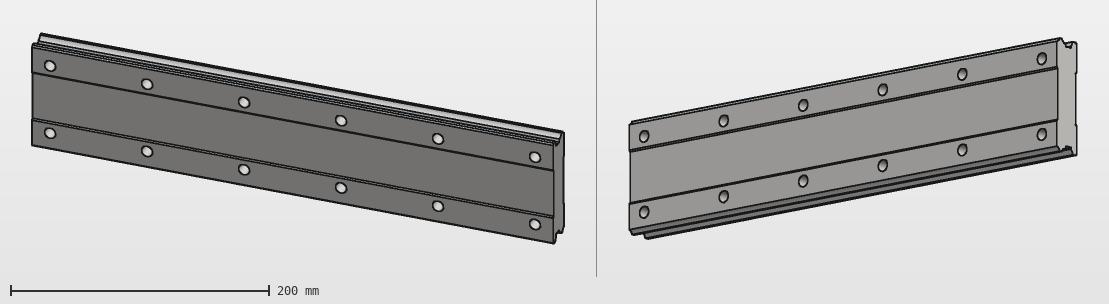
import cadquery as cq

length = 430.0
thickness = 24.0
height = 90.0

recess_depth = 1.0
recess_mouth_half_height = 21.5
recess_floor_half_height = 20.0

flank_foot_z = 41.5
lip_foot_z = 41.0
groove_floor_z = 39.5

ridge_back_y = 8.5
ridge_front_y = 6.0
step_back_y = 1.95
step_front_y = 1.0
groove_front_y = -5.0
lip_back_y = -7.5
lip_chamfer = 1.5

hollow_sag = 0.5

hole_diameter = 9.0
hole_pitch = 80.0
holes_per_row = 6
row_spacing = 60.0

half_height = height / 2
front_y = -thickness / 2
back_y = thickness / 2


def make_upper_half():
    """Extrude the half of the section above mid-height along the full length."""
    front_hollow_middle = (
        (ridge_front_y + step_back_y) / 2 + hollow_sag,
        (half_height + flank_foot_z) / 2 - hollow_sag,
    )
    back_hollow_middle = (
        (ridge_back_y + back_y) / 2 - hollow_sag,
        (half_height + flank_foot_z) / 2 - hollow_sag,
    )
    return (
        cq.Workplane("YZ")
        .moveTo(front_y + recess_depth, 0)
        .lineTo(front_y + recess_depth, recess_floor_half_height)
        .lineTo(front_y, recess_mouth_half_height)
        .lineTo(front_y, half_height - lip_chamfer)
        .lineTo(front_y + lip_chamfer, half_height)
        .lineTo(lip_back_y, half_height)
        .lineTo(groove_front_y, lip_foot_z)
        .lineTo(groove_front_y, groove_floor_z)
        .lineTo(step_front_y, groove_floor_z)
        .lineTo(step_back_y, flank_foot_z)
        .threePointArc(front_hollow_middle, (ridge_front_y, half_height))
        .lineTo(ridge_back_y, half_height)
        .threePointArc(back_hollow_middle, (back_y, flank_foot_z))
        .lineTo(back_y, recess_mouth_half_height)
        .lineTo(back_y - recess_depth, recess_floor_half_height)
        .lineTo(back_y - recess_depth, 0)
        .close()
        .extrude(length / 2, both=True)
    )


def make_holes():
    """Make the cylinders that pierce the plate from front to back."""
    return (
        cq.Workplane("XZ")
        .rarray(hole_pitch, row_spacing, holes_per_row, 2)
        .circle(hole_diameter / 2)
        .extrude(thickness, both=True)
    )


upper_half = make_upper_half()
plate = upper_half.union(upper_half.mirror("XY")).clean()
result = plate.cut(make_holes())